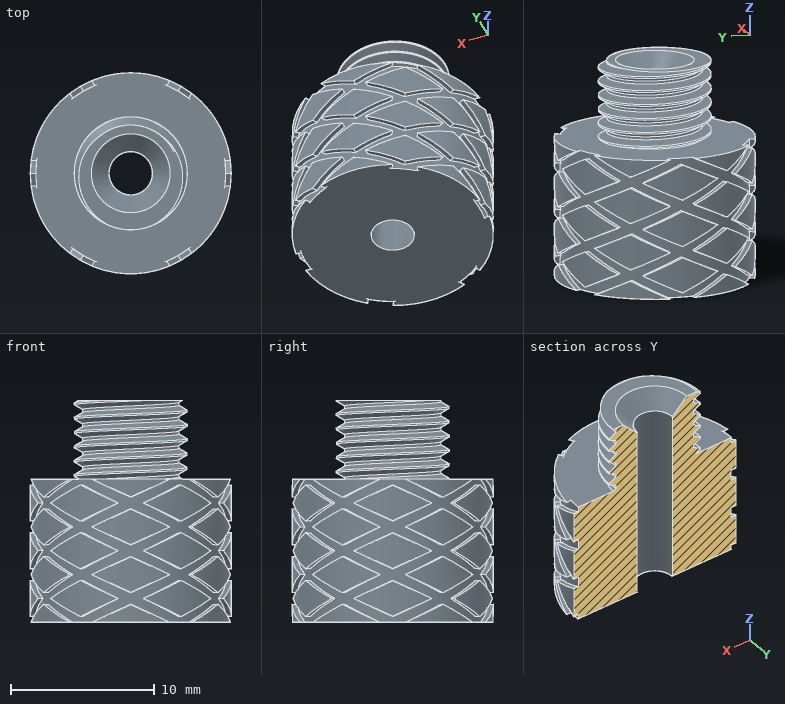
import cadquery as cq
import math

total_height = 15.5
body_diameter = 14.05
body_height = 10.0
overlap = 0.31

groove_floor_diameter = 13.25
groove_count = 6
groove_width = 1.77
tier_count = 3
tier_height = body_height / tier_count
groove_spacing = 360 / groove_count

thread_diameter = 7.89
thread_root_diameter = 6.75
thread_turns = 5.5
thread_length = total_height - body_height
thread_pitch = thread_length / thread_turns
crest_width = thread_pitch / 8
flank_angle = 30.0
ridge_embed = 0.08
crest_angle_at_top = -90.0

bore_diameter = 3.0
mouth_diameter = 5.5
mouth_depth = (mouth_diameter - bore_diameter) / 2


def twisted_ridge(twist_per_tier):
    """Ridge between two neighbouring grooves of one hand, centred on +X at Z = 0."""
    half_angle = math.radians(groove_spacing / 2)
    inner_x = groove_floor_diameter / 2 * math.cos(half_angle) - overlap
    outer_x = body_diameter / 2 + overlap
    wall_apex_x = groove_width / 2 / math.sin(half_angle)
    inner_half_width = (inner_x - wall_apex_x) * math.tan(half_angle)
    outer_half_width = (outer_x - wall_apex_x) * math.tan(half_angle)
    return (
        cq.Workplane("XY")
        .polyline([
            (inner_x, -inner_half_width),
            (outer_x, -outer_half_width),
            (outer_x, outer_half_width),
            (inner_x, inner_half_width),
        ])
        .close()
        .twistExtrude(2 * tier_height, 2 * twist_per_tier)
        .rotate((0, 0, 0), (0, 0, 1), -twist_per_tier)
        .translate((0, 0, -tier_height))
    )


def knurl_diamond():
    """Diamond left where a ridge of each hand cross, between the groove floor and the body diameter."""
    sleeve = (
        cq.Workplane("XY")
        .circle(body_diameter / 2)
        .circle(groove_floor_diameter / 2)
        .extrude(tier_height, both=True)
    )
    return sleeve.intersect(twisted_ridge(groove_spacing)).intersect(twisted_ridge(-groove_spacing))


def knurled_body():
    """Core cylinder at the groove floor carrying staggered rows of diamonds, cut flat at both ends."""
    core = cq.Workplane("XY").circle(groove_floor_diameter / 2).extrude(body_height)
    slab = cq.Workplane("XY").circle(body_diameter / 2 + overlap).extrude(body_height)
    diamond = knurl_diamond()
    diamonds = []
    for row in range(2 * tier_count + 1):
        first_angle = groove_spacing / 2 * ((row + 1) % 2)
        row_diamond = diamond.translate((0, 0, row * tier_height / 2)).intersect(slab)
        for column in range(groove_count):
            angle = first_angle + column * groove_spacing
            diamonds.append(row_diamond.rotate((0, 0, 0), (0, 0, 1), angle).val())
    return core.union(cq.Workplane("XY").newObject(diamonds), glue=True)


def threaded_stem():
    """Root cylinder with a helical ridge, trimmed flat at the top face."""
    root_radius = thread_root_diameter / 2
    crest_radius = thread_diameter / 2
    base_radius = root_radius - ridge_embed
    half_crest = crest_width / 2
    half_base = half_crest + (crest_radius - base_radius) * math.tan(math.radians(flank_angle))

    ridge_turns = math.ceil(thread_turns) + 1
    helix = cq.Wire.makeHelix(thread_pitch, ridge_turns * thread_pitch, root_radius)
    ridge = (
        cq.Workplane("XZ")
        .polyline([
            (base_radius, -half_base),
            (crest_radius, -half_crest),
            (crest_radius, half_crest),
            (base_radius, half_base),
        ])
        .close()
        .sweep(cq.Workplane(helix), isFrenet=True)
        .rotate((0, 0, 0), (0, 0, 1), crest_angle_at_top)
        .translate((0, 0, total_height - (ridge_turns - 1) * thread_pitch))
    )
    stem_start = body_height - overlap
    stem_height = total_height - stem_start
    base = cq.Workplane("XY").workplane(offset=stem_start)
    root = base.circle(root_radius).extrude(stem_height)
    envelope = base.circle(body_diameter / 2).extrude(stem_height)
    return root.union(ridge.intersect(envelope))


def bore():
    """Through hole that opens into a cone at the top face."""
    return (
        cq.Workplane("XZ")
        .polyline([
            (0, 0),
            (bore_diameter / 2, 0),
            (bore_diameter / 2, total_height - mouth_depth),
            (mouth_diameter / 2, total_height),
            (0, total_height),
        ])
        .close()
        .revolve(360, (0, 0, 0), (0, 1, 0))
    )


result = knurled_body().union(threaded_stem()).cut(bore())